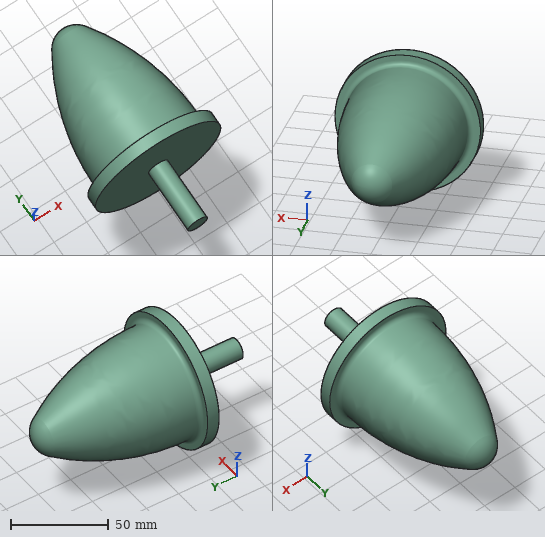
import cadquery as cq
import math

total_length = 126.0
flange_diameter = 77.0
flange_thickness = 7.2
stud_diameter = 12.0
stud_length = 36.9
body_radius = 32.5
root_fillet_radius = 2.8
tip_radius = 12.9

flange_top = flange_thickness
side_start = flange_top + root_fillet_radius
apex = total_length - stud_length

nose_centre = apex - tip_radius
nose_rise = nose_centre - side_start
radius_step = body_radius - tip_radius
side_radius = tip_radius + (nose_rise**2 + radius_step**2) / (2 * radius_step)
side_centre_x = body_radius - side_radius
tangent_angle = math.atan2(nose_rise, -side_centre_x)


def side_point(angle):
    """Point on the side arc at an angle above the radial direction."""
    return (
        side_centre_x + side_radius * math.cos(angle),
        side_start + side_radius * math.sin(angle),
    )


def nose_point(angle):
    """Point on the nose sphere at an angle above the radial direction."""
    return (tip_radius * math.cos(angle), nose_centre + tip_radius * math.sin(angle))


def make_bumper():
    """Revolve the flange, root fillet, ogive side and round nose."""
    flange_radius = flange_diameter / 2
    fillet_outer_radius = body_radius + root_fillet_radius
    fillet_mid_offset = root_fillet_radius * math.sqrt(0.5)
    fillet_mid = (fillet_outer_radius - fillet_mid_offset, side_start - fillet_mid_offset)
    nose_mid_angle = (tangent_angle + math.pi / 2) / 2
    profile = (
        cq.Workplane("XY")
        .lineTo(flange_radius, 0)
        .lineTo(flange_radius, flange_top)
        .lineTo(fillet_outer_radius, flange_top)
        .threePointArc(fillet_mid, (body_radius, side_start))
        .threePointArc(side_point(tangent_angle / 2), side_point(tangent_angle))
        .threePointArc(nose_point(nose_mid_angle), (0, apex))
        .close()
    )
    return profile.revolve(360, (0, 0, 0), (0, 1, 0))


def make_stud():
    """Plain round stud running from the mounting face toward -Y."""
    return cq.Workplane("XZ").circle(stud_diameter / 2).extrude(stud_length)


result = make_bumper().union(make_stud())